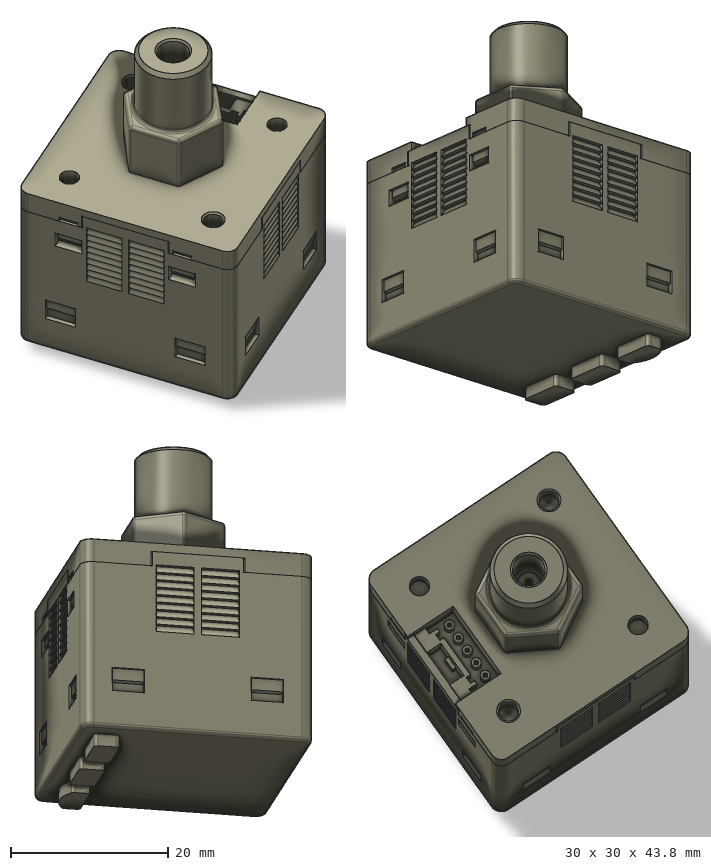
import cadquery as cq
import math

SIDE_COUNT = 4
SIDE = 30.0
HALF = SIDE / 2
CORNER_RADIUS = 1.5
SEAM_Z = 22.1
CASE_TOP_Z = 25.2
BASE_FILLET = 0.5
WALL = 1.0

TAB_HALF_WIDTH = 5.9
NOTCH_HALF_WIDTH = 6.1
TAB_TOP_Z = 24.05

LOUVRE_COUNT = 9
LOUVRE_HEIGHT = 9.0
LOUVRE_PITCH = LOUVRE_HEIGHT / LOUVRE_COUNT
LOUVRE_TOP_Z = 22.3
LOUVRE_DEPTH = 0.65
LOUVRE_WIDTH = 4.9
LOUVRE_X = 2.95

LATCH_X = 9.02
LATCH_WIDTH = 4.15
LATCH_BOTTOM_Z = 4.95
LATCH_TOP_Z = 8.05
LATCH_DEPTH = 0.6
LATCH_STEP_DEPTH = 0.3
LATCH_STEP_TOP_Z = 6.5
LATCH_STEP_BOTTOM_Z = 6.2

CLIP_X = 7.9
CLIP_WIDTH = 3.2
CLIP_INSET = 0.4
CLIP_BACK = 1.23
CLIP_BEVEL_TOP_Z = 18.88
CLIP_TIP_Z = 17.8
CLIP_WINDOW_WIDTH = 3.72
CLIP_WINDOW_BOTTOM_Z = 17.7
CLIP_WINDOW_TOP_Z = 19.9
CLIP_NOTCH_WIDTH = 2.6
CLIP_NOTCH_TOP_Z = 22.75

KEY_PITCH = 9.02
KEY_WIDTH = 6.25
KEY_HEIGHT = 1.6
KEY_BACK_Y = -9.55
KEY_FRONT_Y = -12.85
KEY_SHOULDER_Y = -11.75
KEY_FILLET = 0.5

SOCKET_HALF_WIDTH = 10.75 / 2
SOCKET_FRONT_Y = 7.95
SOCKET_BACK_Y = HALF - WALL
BLOCK_TOP_Z = 23.75
BLOCK_FRONT_Y = 11.05
BLOCK_HALF_WIDTH = 4.42
BLOCK_SHOULDER_Y = 12.25
KEYWAY_INNER_X = 3.0
KEYWAY_OUTER_X = 3.9
KEYWAY_BACK_Y = 11.65
POCKET_HALF_WIDTH = 5.12 / 2
POCKET_FRONT_Y = 11.8
POCKET_DEPTH = 2.4
RIB_WIDTH = 1.7
RIB_LENGTH = 0.55
RIB_TOP_Z = 22.55
CONTACT_COUNT = 5
CONTACT_ROW_LENGTH = 8.0
CONTACT_PITCH = CONTACT_ROW_LENGTH / (CONTACT_COUNT - 1)
CONTACT_Y = 9.45
CONTACT_TOP_Z = 23.4
CONTACT_RADIUS = 1.25 / 2
CONTACT_BORE_RADIUS = 0.3

MOUNT_OFFSET = 10.0
MOUNT_RADIUS = 1.25
MOUNT_RIM_RADIUS = 3.02 / 2
MOUNT_DEPTH = 2.2
DRILL_POINT_DEPTH = 0.75

HEX_SIDES = 6
HEX_ACROSS_FLATS = 12.0
HEX_HEIGHT = 7.6
HEX_CORNER_FILLET = 0.5
HEX_TOP_FILLET = 0.53
SPIGOT_RADIUS = 9.85 / 2
SPIGOT_CHAMFER = 0.53
SPIGOT_ROOT_FILLET = 0.45
PORT_HEIGHT = 17.0
BORE_RIM_RADIUS = 2.3
BORE_RADIUS = 2.05
BORE_DEPTH = 6.15
FLOOR_RADIUS = 1.85
NOZZLE_BASE_RADIUS = 1.58
NOZZLE_TOP_RADIUS = 1.35
ORIFICE_RADIUS = 0.55
ORIFICE_DEPTH = 10.95


def box(x0, x1, y0, y1, z0, z1):
    """Axis-aligned box between two opposite corners."""
    return cq.Workplane("XY").box(x1 - x0, y1 - y0, z1 - z0, centered=False).translate((x0, y0, z0))


def case_block(z0, z1):
    """Rounded square prism with the outline shared by housing and cover."""
    block = box(-HALF, HALF, -HALF, HALF, z0, z1)
    return block.edges("|Z").fillet(CORNER_RADIUS)


def wall_prism(x_center, width, profile):
    """Prism at the -Y wall; profile points are (inset from the outer face, Z)."""
    points = [(inset - HALF, z) for inset, z in profile]
    prism = cq.Workplane("YZ").polyline(points).close().extrude(width)
    return prism.translate((x_center - width / 2, 0, 0))


def wall_box(x_center, width, inset0, inset1, z0, z1):
    """Rectangular prism at the -Y wall."""
    return wall_prism(x_center, width, [(inset0, z0), (inset1, z0), (inset1, z1), (inset0, z1)])


def around(shape, count):
    """Copies of a -Y wall shape, evenly turned about the vertical axis."""
    return [shape.rotate((0, 0, 0), (0, 0, 1), 360 * i / count) for i in range(count)]


def louvre(x, top_z):
    """Notch above one slat; the slat slopes upward into the wall."""
    return wall_prism(x, LOUVRE_WIDTH, [(0, top_z - LOUVRE_PITCH), (LOUVRE_DEPTH, top_z), (0, top_z)])


def latch_window(x):
    """Recess that is shallow above and deep below a sloping step."""
    return wall_prism(x, LATCH_WIDTH, [
        (0, LATCH_BOTTOM_Z),
        (LATCH_DEPTH, LATCH_BOTTOM_Z),
        (LATCH_DEPTH, LATCH_STEP_BOTTOM_Z),
        (LATCH_STEP_DEPTH, LATCH_STEP_TOP_Z),
        (LATCH_STEP_DEPTH, LATCH_TOP_Z),
        (0, LATCH_TOP_Z),
    ])


def clip_recess(x):
    """Window in the wall and the slot that leads the clip down to it."""
    window = wall_box(x, CLIP_WINDOW_WIDTH, 0, CLIP_BACK, CLIP_WINDOW_BOTTOM_Z, CLIP_WINDOW_TOP_Z)
    return window.union(wall_box(x, CLIP_WIDTH, CLIP_INSET, CLIP_BACK, CLIP_WINDOW_TOP_Z, SEAM_Z))


def bulged_key():
    """Key with straight sides and an arched front."""
    half = KEY_WIDTH / 2
    outline = (
        cq.Workplane("XY")
        .moveTo(-half, KEY_BACK_Y)
        .lineTo(-half, KEY_SHOULDER_Y)
        .threePointArc((0, KEY_FRONT_Y), (half, KEY_SHOULDER_Y))
        .lineTo(half, KEY_BACK_Y)
        .close()
    )
    return outline.extrude(-KEY_HEIGHT).edges("|Z").fillet(KEY_FILLET)


def plain_key():
    """Rectangular key with rounded corners."""
    half = KEY_WIDTH / 2
    return box(-half, half, KEY_FRONT_Y, KEY_BACK_Y, -KEY_HEIGHT, 0).edges("|Z").fillet(KEY_FILLET)


def connector():
    """Connector block with its keyways, and a row of contact sleeves in front of it."""
    right = [
        (KEYWAY_INNER_X, BLOCK_FRONT_Y),
        (KEYWAY_INNER_X, KEYWAY_BACK_Y),
        (KEYWAY_OUTER_X, KEYWAY_BACK_Y),
        (KEYWAY_OUTER_X, BLOCK_FRONT_Y),
        (BLOCK_HALF_WIDTH, BLOCK_FRONT_Y),
        (BLOCK_HALF_WIDTH, BLOCK_SHOULDER_Y),
        (SOCKET_HALF_WIDTH, BLOCK_SHOULDER_Y),
        (SOCKET_HALF_WIDTH, SOCKET_BACK_Y),
    ]
    left = [(-x, y) for x, y in reversed(right)]
    outline = cq.Workplane("XY", origin=(0, 0, SEAM_Z)).polyline(right + left).close()
    block = outline.extrude(BLOCK_TOP_Z - SEAM_Z)
    contacts = (
        cq.Workplane("XY", origin=(0, CONTACT_Y, SEAM_Z))
        .rarray(CONTACT_PITCH, 0.45, CONTACT_COUNT, 1)
        .circle(CONTACT_RADIUS).circle(CONTACT_BORE_RADIUS)
        .extrude(CONTACT_TOP_Z - SEAM_Z)
    )
    return block.union(contacts)


def connector_pocket():
    """Pocket behind the front lip of the connector, with a low rib left on the lip."""
    floor = BLOCK_TOP_Z - POCKET_DEPTH
    pocket = box(-POCKET_HALF_WIDTH, POCKET_HALF_WIDTH, POCKET_FRONT_Y, SOCKET_BACK_Y, floor, BLOCK_TOP_Z)
    rib = box(-RIB_WIDTH / 2, RIB_WIDTH / 2, POCKET_FRONT_Y, POCKET_FRONT_Y + RIB_LENGTH, floor, RIB_TOP_Z)
    return pocket.cut(rib)


def make_housing():
    body = case_block(0, SEAM_Z).faces("<Z").edges().fillet(BASE_FILLET)
    for tab in around(wall_box(0, 2 * TAB_HALF_WIDTH, 0, WALL, SEAM_Z, TAB_TOP_Z), SIDE_COUNT):
        body = body.union(tab)
    for side in (-1, 1):
        for i in range(LOUVRE_COUNT):
            for notch in around(louvre(side * LOUVRE_X, LOUVRE_TOP_Z - i * LOUVRE_PITCH), SIDE_COUNT):
                body = body.cut(notch)
        for window in around(latch_window(side * LATCH_X), SIDE_COUNT):
            body = body.cut(window)
        for recess in around(clip_recess(side * CLIP_X), 2):
            body = body.cut(recess)
    body = body.union(bulged_key().translate((-KEY_PITCH, 0, 0)))
    for x in (0, KEY_PITCH):
        body = body.union(plain_key().translate((x, 0, 0)))
    return body.union(connector()).cut(connector_pocket())


def clip(x):
    """Snap clip with a bevelled tip, hanging below the cover."""
    return wall_prism(x, CLIP_WIDTH, [
        (CLIP_INSET, SEAM_Z),
        (CLIP_INSET, CLIP_BEVEL_TOP_Z),
        (CLIP_BACK, CLIP_TIP_Z),
        (CLIP_BACK, SEAM_Z),
    ])


def plain_hole():
    """Flat-bottomed mounting hole below the cover face, on the Z axis."""
    return cq.Workplane("XY", origin=(0, 0, CASE_TOP_Z)).circle(MOUNT_RADIUS).extrude(-MOUNT_DEPTH)


def drilled_hole():
    """Countersunk mounting hole with a drill-point bottom, on the Z axis."""
    floor = CASE_TOP_Z - MOUNT_DEPTH
    rim = MOUNT_RIM_RADIUS - MOUNT_RADIUS
    return (
        cq.Workplane("XZ")
        .polyline([
            (0, CASE_TOP_Z),
            (MOUNT_RIM_RADIUS, CASE_TOP_Z),
            (MOUNT_RADIUS, CASE_TOP_Z - rim),
            (MOUNT_RADIUS, floor),
            (0, floor - DRILL_POINT_DEPTH),
        ])
        .close()
        .revolve()
    )


def make_cover():
    body = case_block(SEAM_Z, CASE_TOP_Z)
    for notch in around(wall_box(0, 2 * NOTCH_HALF_WIDTH, 0, WALL, SEAM_Z, TAB_TOP_Z), SIDE_COUNT):
        body = body.cut(notch)
    body = body.cut(
        box(-SOCKET_HALF_WIDTH, SOCKET_HALF_WIDTH, SOCKET_FRONT_Y, HALF, SEAM_Z, CASE_TOP_Z)
    )
    for side in (-1, 1):
        gap = wall_box(side * CLIP_X, CLIP_NOTCH_WIDTH, 0, CLIP_INSET, SEAM_Z, CLIP_NOTCH_TOP_Z)
        for notch in around(gap, 2):
            body = body.cut(notch)
        for hook in around(clip(side * CLIP_X), 2):
            body = body.union(hook)
        offset = side * MOUNT_OFFSET
        body = body.cut(plain_hole().translate((offset, offset, 0)))
        body = body.cut(drilled_hole().translate((offset, -offset, 0)))
    return body


def port_bore():
    """Chamfered bore with a low conical nozzle on its floor, pierced by a small orifice."""
    top = CASE_TOP_Z + PORT_HEIGHT
    wall_bottom = top - BORE_DEPTH
    floor = wall_bottom - (BORE_RADIUS - FLOOR_RADIUS)
    nozzle_top = floor + (NOZZLE_BASE_RADIUS - NOZZLE_TOP_RADIUS)
    return (
        cq.Workplane("XZ")
        .polyline([
            (0, top),
            (BORE_RIM_RADIUS, top),
            (BORE_RADIUS, top - (BORE_RIM_RADIUS - BORE_RADIUS)),
            (BORE_RADIUS, wall_bottom),
            (FLOOR_RADIUS, floor),
            (NOZZLE_BASE_RADIUS, floor),
            (NOZZLE_TOP_RADIUS, nozzle_top),
            (ORIFICE_RADIUS, nozzle_top),
            (ORIFICE_RADIUS, top - ORIFICE_DEPTH),
            (0, top - ORIFICE_DEPTH),
        ])
        .close()
        .revolve()
    )


def make_port():
    across_corners = HEX_ACROSS_FLATS / math.cos(math.pi / HEX_SIDES)
    nut = (
        cq.Workplane("XY", origin=(0, 0, CASE_TOP_Z))
        .polygon(HEX_SIDES, across_corners)
        .extrude(HEX_HEIGHT)
        .edges("|Z").fillet(HEX_CORNER_FILLET)
        .faces(">Z").edges().fillet(HEX_TOP_FILLET)
    )
    hex_top = CASE_TOP_Z + HEX_HEIGHT
    root = SPIGOT_RADIUS + SPIGOT_ROOT_FILLET
    fillet_mid = SPIGOT_ROOT_FILLET * (1 - math.sqrt(0.5))
    top = CASE_TOP_Z + PORT_HEIGHT
    spigot = (
        cq.Workplane("XZ")
        .moveTo(0, hex_top)
        .lineTo(root, hex_top)
        .threePointArc(
            (SPIGOT_RADIUS + fillet_mid, hex_top + fillet_mid),
            (SPIGOT_RADIUS, hex_top + SPIGOT_ROOT_FILLET),
        )
        .lineTo(SPIGOT_RADIUS, top - SPIGOT_CHAMFER)
        .lineTo(SPIGOT_RADIUS - SPIGOT_CHAMFER, top)
        .lineTo(0, top)
        .close()
        .revolve()
    )
    return nut.union(spigot).cut(port_bore())


housing = make_housing().solids()
cover = make_cover().solids()
port = make_port().solids()

result = cq.Compound.makeCompound([housing.val(), cover.val(), port.val()])